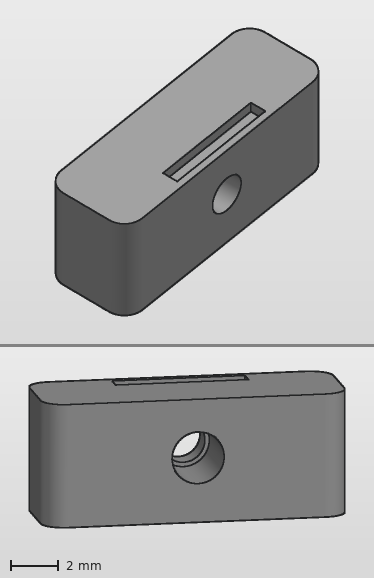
import cadquery as cq

width = 4.5
length = 13.0
height = 5.3
corner_radius = 1.0

bore_diameter = 2.22
hole_diameter = 1.85
hole_y = -0.05
hole_z = 0.13

slot_width = 0.79
slot_length = 5.68
slot_wall = 0.35
slot_depth = 0.52

slot_outer_x = width / 2 - slot_wall
slot_inner_x = slot_outer_x - slot_width


def cross_cylinder(diameter, end_x):
    """Cylinder on the hole axis, from the -X face to end_x."""
    start_x = -width / 2
    return (
        cq.Workplane("YZ", origin=(start_x, hole_y, hole_z))
        .circle(diameter / 2)
        .extrude(end_x - start_x)
    )


block = cq.Workplane("XY").box(width, length, height).edges("|Z").fillet(corner_radius)

slot = (
    cq.Workplane("XY", origin=((slot_inner_x + slot_outer_x) / 2, 0, height / 2))
    .rect(slot_width, slot_length)
    .extrude(-slot_depth)
)

bore = cross_cylinder(bore_diameter, slot_inner_x)
through_hole = cross_cylinder(hole_diameter, width / 2)

result = block.cut(slot).cut(bore).cut(through_hole)